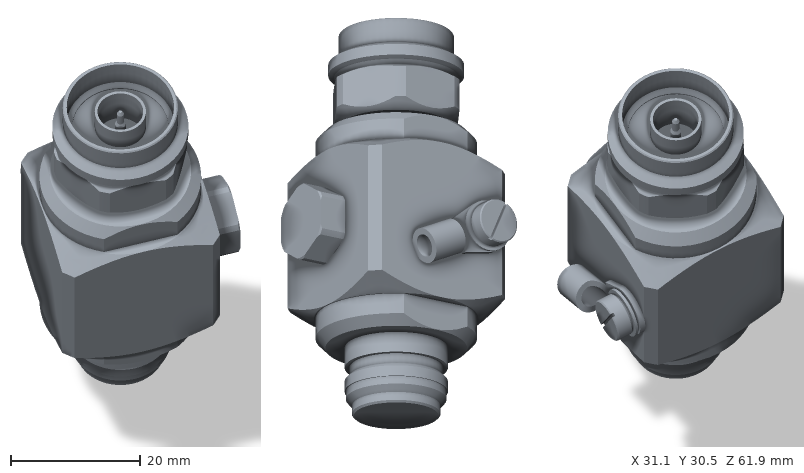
import cadquery as cq
import math


block_side = 25.45
block_half = block_side / 2
block_bottom = 15.8
block_top = 41.05
block_mid = (block_bottom + block_top) / 2
block_edge_chamfer = 1.55
block_cone_angle = 30

flange_radius = 12.5
flange_flat_half = 11.0
flange_height = 4.75
flange_chamfer = 1.55

lower_radius = 8.0
lower_groove_radius = 7.25
lower_groove_top = 7.8
lower_groove_bottom = 6.3
lower_collar_top = 5.6
lower_collar_bottom = 3.9
lower_lip_radius = 7.8
lower_lip_bottom = 2.65
lower_spigot_radius = 6.9
lower_spigot_top = 1.6
lower_spigot_chamfer = 0.3

neck_radius = 6.9
plug_radius = 7.4
plug_bottom = 52
plug_top = 56.8
contact_tube_radius = 3.95
contact_tube_bore = 3.5
contact_tube_floor = 54.5
contact_tube_top = 60.7

pin_radius = 0.835
pin_shoulder_top = 58.2
pin_contact_radius = 0.55
pin_tip_radius = 0.25
pin_cone_height = 0.55

nut_bottom = 46.9
nut_top = 61.9
nut_flat_half = 9.5
nut_corner_radius = 10.5
nut_foot_radius = 8.8
nut_foot_top = 48.6
nut_hex_top = 53.5
nut_groove_radius = 9.05
nut_groove_bottom = 54.35
nut_groove_top = 54.95
nut_groove_top_radius = 9.65
nut_collar_bottom = 55.35
nut_collar_top = 57.1
nut_sleeve_radius = 8.9
nut_sleeve_bottom = 58.0
nut_bore_radius = 8.3
nut_bore_bottom = 57.45
nut_bore_cone_bottom = 57.0
nut_rim_chamfer = 0.2

bolt_flat_half = 5.54
bolt_corner_radius = 6.1
bolt_boss_radius = 5.1
bolt_boss_height = 0.5
bolt_total_height = 5.0
bolt_rim_chamfer = 0.25

screw_y = -7.55
lug_thickness = 0.9
lug_eye_radius = 4.0
lug_angle = 25
lug_plate_end = 5.5
lug_barrel_start = 8.0
lug_barrel_end = 14.0
lug_barrel_radius = 2.8
lug_bore_radius = 1.8
washer_thickness = 1.2
washer_hub_radius = 3.15
washer_rim_radius = 4.0
washer_rim_thickness = 0.45
screw_head_radius = 3.45
screw_head_height = 2.5
screw_head_chamfer = 0.2
screw_shank_radius = 1.55
slot_width = 0.55
slot_depth = 0.55
slot_angle = 66


def revolved(profile):
    """Turn a closed (radius, height) profile about the Z axis."""
    return cq.Workplane("XZ").polyline(profile).close().revolve(360, (0, 0), (0, 1))


def disc(radius, bottom, height):
    """Upright cylinder on the Z axis."""
    return cq.Workplane("XY").workplane(offset=bottom).circle(radius).extrude(height)


def hexagon(flat_half, bottom, top):
    """Hexagonal prism along Z with two flats facing -X and +X."""
    across_corners = 2 * flat_half / math.cos(math.radians(30))
    prism = cq.Workplane("XY").workplane(offset=bottom).polygon(6, across_corners).extrude(top - bottom)
    return prism.rotate((0, 0, 0), (0, 0, 1), 30)


def make_block():
    """Square block with bevelled upright edges and corners turned off by a cone at each end."""
    height = block_top - block_bottom
    block = cq.Workplane("XY").box(block_side, block_side, height).translate((0, 0, block_mid))
    block = block.edges("|Z").chamfer(block_edge_chamfer)
    outer_radius = block_half * math.sqrt(2)
    cone_drop = (outer_radius - block_half) * math.tan(math.radians(block_cone_angle))
    turned_shape = revolved([
        (0, block_bottom),
        (block_half, block_bottom),
        (outer_radius, block_bottom + cone_drop),
        (outer_radius, block_top - cone_drop),
        (block_half, block_top),
        (0, block_top),
    ])
    return block.intersect(turned_shape)


def make_flange():
    """Flange standing on z = 0 with its chamfered rim at the top."""
    flange = disc(flange_radius, 0, flange_height).faces(">Z").chamfer(flange_chamfer)
    flats = cq.Workplane("XY").box(2 * flange_flat_half, 2 * flange_radius, 2 * flange_height)
    return flange.intersect(flats)


def make_lower_connector():
    """Turned connector body below the lower flange."""
    return revolved([
        (0, block_bottom),
        (lower_radius, block_bottom),
        (lower_radius, lower_groove_top),
        (lower_groove_radius, lower_groove_top),
        (lower_groove_radius, lower_groove_bottom),
        (lower_radius, lower_collar_top),
        (lower_radius, lower_collar_bottom),
        (lower_lip_radius, lower_collar_bottom),
        (lower_lip_radius, lower_lip_bottom),
        (lower_spigot_radius, lower_spigot_top),
        (lower_spigot_radius, lower_spigot_chamfer),
        (lower_spigot_radius - lower_spigot_chamfer, 0),
        (0, 0),
    ])


def make_neck():
    """Neck through the coupling nut, its wider plug and the hollow contact tube."""
    return revolved([
        (0, block_top),
        (neck_radius, block_top),
        (neck_radius, plug_bottom),
        (plug_radius, plug_bottom),
        (plug_radius, plug_top),
        (contact_tube_radius, plug_top),
        (contact_tube_radius, contact_tube_top),
        (contact_tube_bore, contact_tube_top),
        (contact_tube_bore, contact_tube_floor),
        (0, contact_tube_floor),
    ])


def make_housing():
    """Block with both flanges, the lower connector and the neck."""
    upper_flange = make_flange().translate((0, 0, block_top))
    lower_flange = make_flange().mirror("XY").translate((0, 0, block_bottom))
    housing = make_block().union(upper_flange).union(lower_flange)
    return housing.union(make_lower_connector()).union(make_neck())


def make_pin():
    """Centre pin standing inside the contact tube, with conical shoulder and tip."""
    return revolved([
        (0, contact_tube_floor),
        (pin_radius, contact_tube_floor),
        (pin_radius, pin_shoulder_top - pin_cone_height),
        (pin_contact_radius, pin_shoulder_top),
        (pin_contact_radius, contact_tube_top - pin_cone_height),
        (pin_tip_radius, contact_tube_top),
        (0, contact_tube_top),
    ])


def make_coupling_nut():
    """Coupling nut: hexagon below, V-shaped groove, collar and thin sleeve above, bored over the plug."""
    turned = revolved([
        (neck_radius, nut_bottom),
        (nut_foot_radius, nut_bottom),
        (nut_corner_radius, nut_foot_top),
        (nut_corner_radius, nut_hex_top),
        (nut_groove_radius, nut_groove_bottom),
        (nut_groove_top_radius, nut_groove_top),
        (nut_corner_radius, nut_collar_bottom),
        (nut_corner_radius, nut_collar_top),
        (nut_sleeve_radius, nut_sleeve_bottom),
        (nut_sleeve_radius, nut_top - nut_rim_chamfer),
        (nut_sleeve_radius - nut_rim_chamfer, nut_top),
        (nut_bore_radius, nut_top),
        (nut_bore_radius, nut_bore_bottom),
        (plug_radius, nut_bore_cone_bottom),
        (plug_radius, plug_bottom),
        (neck_radius, plug_bottom),
    ])
    hex_zone = disc(2 * nut_corner_radius, nut_bottom, nut_groove_bottom - nut_bottom)
    corners = hex_zone.cut(hexagon(nut_flat_half, nut_bottom, nut_groove_bottom))
    return turned.cut(corners)


def make_bolt():
    """Hexagon head with trimmed corners on a round boss, seated on the +Y face."""
    boss = disc(bolt_boss_radius, 0, bolt_boss_height)
    trim = disc(bolt_corner_radius, 0, bolt_total_height).faces(">Z").chamfer(bolt_rim_chamfer)
    head = hexagon(bolt_flat_half, bolt_boss_height, bolt_total_height).intersect(trim)
    bolt = boss.union(head)
    return bolt.rotate((0, 0, 0), (1, 0, 0), -90).translate((0, block_half, block_mid))


lug_direction = (0, math.cos(math.radians(lug_angle)), -math.sin(math.radians(lug_angle)))
screw_seat = cq.Location(cq.Plane((-block_half, screw_y, block_mid), lug_direction, (-1, 0, 0)))


def on_screw_seat(body):
    """Move a body from its local frame to the -X face of the block."""
    return cq.Workplane("XY").newObject([body.val().moved(screw_seat)])


def make_lug_plate():
    """Round eye with straight sides running tangentially to the barrel width."""
    corner_distance = math.hypot(lug_plate_end, lug_barrel_radius)
    corner_angle = math.atan2(lug_barrel_radius, lug_plate_end)
    tangent_angle = corner_angle + math.acos(lug_eye_radius / corner_distance)
    tangent_x = lug_eye_radius * math.cos(tangent_angle)
    tangent_y = lug_eye_radius * math.sin(tangent_angle)
    outline = (
        cq.Workplane("XY")
        .moveTo(tangent_x, tangent_y)
        .lineTo(lug_plate_end, lug_barrel_radius)
        .lineTo(lug_plate_end, -lug_barrel_radius)
        .lineTo(tangent_x, -tangent_y)
        .threePointArc((-lug_eye_radius, 0), (tangent_x, tangent_y))
        .close()
    )
    return outline.extrude(lug_thickness)


def make_lug_barrel():
    """Cable barrel whose upper wall is scooped away in an arc that runs out onto the plate."""
    barrel = (
        cq.Workplane("YZ")
        .workplane(offset=lug_plate_end)
        .center(0, lug_barrel_radius)
        .circle(lug_barrel_radius)
        .circle(lug_bore_radius)
        .extrude(lug_barrel_end - lug_plate_end)
    )
    barrel_top = 2 * lug_barrel_radius
    scoop_length = lug_barrel_start - lug_plate_end
    scoop_rise = lug_barrel_radius - lug_thickness
    scoop_radius = (scoop_length**2 + scoop_rise**2) / (2 * scoop_rise)
    scoop = (
        cq.Workplane("XZ")
        .moveTo(lug_plate_end, lug_thickness)
        .radiusArc((lug_barrel_start, lug_barrel_radius), -scoop_radius)
        .lineTo(lug_barrel_start, barrel_top)
        .lineTo(lug_plate_end, barrel_top)
        .close()
        .extrude(lug_barrel_radius, both=True)
    )
    return barrel.cut(scoop)


def make_lug():
    """Flat eye and cable barrel in one piece, with a hole for the screw."""
    lug = make_lug_plate().union(make_lug_barrel())
    eye_hole = disc(screw_shank_radius, 0, lug_thickness)
    return on_screw_seat(lug.cut(eye_hole))


def make_washer():
    """Washer with a thin wide rim halfway up a narrower hub."""
    rim_bottom = lug_thickness + (washer_thickness - washer_rim_thickness) / 2
    hub = disc(washer_hub_radius, lug_thickness, washer_thickness)
    rim = disc(washer_rim_radius, rim_bottom, washer_rim_thickness)
    hole = disc(screw_shank_radius, lug_thickness, washer_thickness)
    return on_screw_seat(hub.union(rim).cut(hole))


def make_screw():
    """Slotted cheese-head screw whose shank passes through the washer and the lug eye."""
    head_bottom = lug_thickness + washer_thickness
    head_top = head_bottom + screw_head_height
    head = disc(screw_head_radius, head_bottom, screw_head_height).faces(">Z").chamfer(screw_head_chamfer)
    slot = cq.Workplane("XY").box(3 * screw_head_radius, slot_width, 2 * slot_depth)
    slot = slot.translate((0, 0, head_top)).rotate((0, 0, 0), (0, 0, 1), slot_angle - lug_angle)
    shank = disc(screw_shank_radius, 0, head_bottom)
    return on_screw_seat(head.cut(slot).union(shank))


housing = make_housing()
pin = make_pin()
coupling_nut = make_coupling_nut()
bolt = make_bolt()
lug = make_lug()
washer = make_washer()
screw = make_screw()

result = cq.Compound.makeCompound([
    housing.val(),
    pin.val(),
    coupling_nut.val(),
    bolt.val(),
    lug.val(),
    washer.val(),
    screw.val(),
])